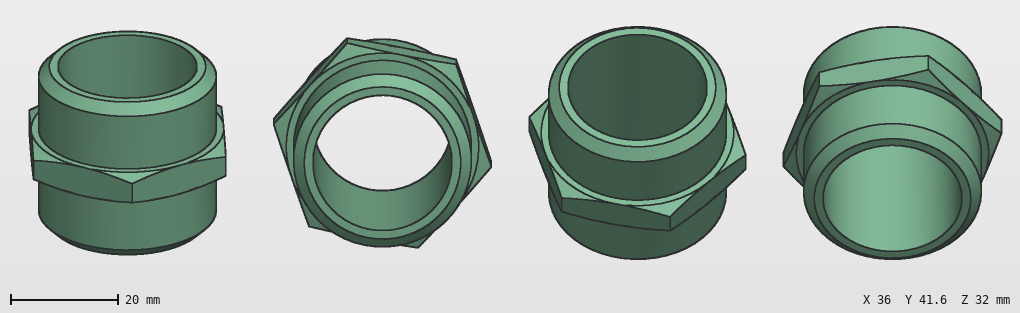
import cadquery as cq
import math

hex_corner_diameter = 41.55
body_diameter = 33.25
bore_diameter = 26.0
total_height = 32.0
hex_height = 6.0
end_chamfer = 2.0
hex_chamfer_angle = 20.0

hex_corner_radius = hex_corner_diameter / 2
hex_flat_radius = hex_corner_radius * math.cos(math.radians(30))
corner_drop = (hex_corner_radius - hex_flat_radius) * math.tan(math.radians(hex_chamfer_angle))


def make_body():
    """Central cylinder with both outer end edges chamfered."""
    body = cq.Workplane("XY").circle(body_diameter / 2).extrude(total_height / 2, both=True)
    return body.faces("|Z").edges().chamfer(end_chamfer)


def make_hex_collar():
    """Hexagonal collar with corners along Y, bevelled conically on both faces."""
    half_height = hex_height / 2
    corner_height = half_height - corner_drop
    hexagon = (
        cq.Workplane("XY")
        .polygon(6, hex_corner_diameter)
        .extrude(half_height, both=True)
        .rotate((0, 0, 0), (0, 0, 1), 90)
    )
    bevel_envelope = (
        cq.Workplane("XZ")
        .moveTo(0, -half_height)
        .lineTo(hex_flat_radius, -half_height)
        .lineTo(hex_corner_radius, -corner_height)
        .lineTo(hex_corner_radius, corner_height)
        .lineTo(hex_flat_radius, half_height)
        .lineTo(0, half_height)
        .close()
        .revolve(360, (0, 0, 0), (0, 1, 0))
    )
    return hexagon.intersect(bevel_envelope)


def make_bore():
    """Cylinder that opens the part from end to end."""
    return cq.Workplane("XY").circle(bore_diameter / 2).extrude(total_height / 2, both=True)


result = make_body().union(make_hex_collar()).cut(make_bore())